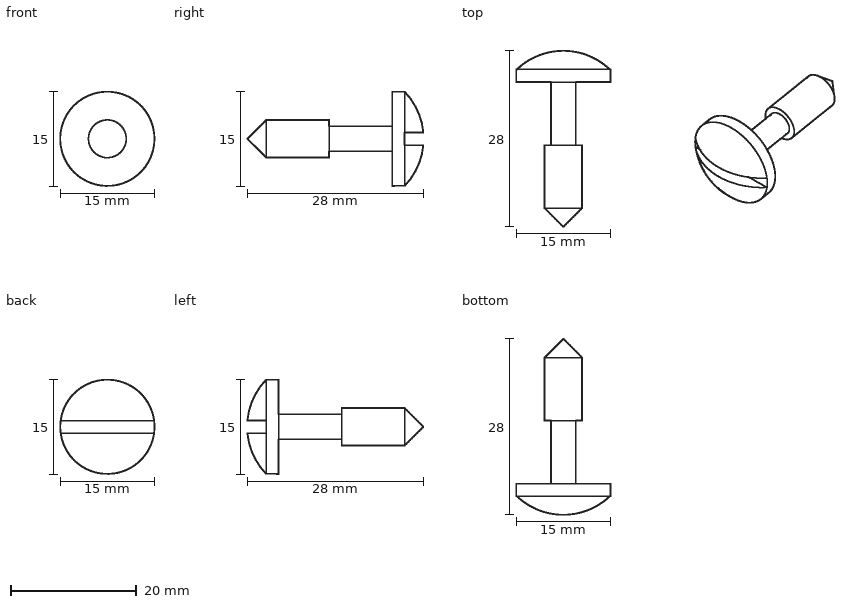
import cadquery as cq

head_diameter = 15.0
rim_thickness = 2.0
dome_height = 3.03
neck_diameter = 4.0
neck_length = 10.0
body_diameter = 6.0
body_length = 10.0
point_length = 3.0
slot_width = 2.0

head_radius = head_diameter / 2
neck_radius = neck_diameter / 2
body_radius = body_diameter / 2

rim_top = rim_thickness
dome_top = rim_top + dome_height
body_start = -neck_length
body_end = body_start - body_length
tip = body_end - point_length

dome_radius = (head_radius**2 + dome_height**2) / (2 * dome_height)
dome_center = dome_top - dome_radius
half_chord = head_radius / 2
dome_middle = (half_chord, dome_center + (dome_radius**2 - half_chord**2) ** 0.5)


def turned_pin():
    """Head, neck, body and conical point revolved about the Y axis."""
    half_profile = (
        cq.Workplane("XY")
        .moveTo(0, tip)
        .lineTo(body_radius, body_end)
        .lineTo(body_radius, body_start)
        .lineTo(neck_radius, body_start)
        .lineTo(neck_radius, 0)
        .lineTo(head_radius, 0)
        .lineTo(head_radius, rim_top)
        .threePointArc(dome_middle, (0, dome_top))
        .close()
    )
    return half_profile.revolve(360, (0, 0, 0), (0, 1, 0))


def screwdriver_slot():
    """Slot along X across the dome, as deep as the top of the rim."""
    return (
        cq.Workplane("XY")
        .box(head_diameter, dome_height, slot_width, centered=(True, False, True))
        .translate((0, rim_top, 0))
    )


result = turned_pin().cut(screwdriver_slot())